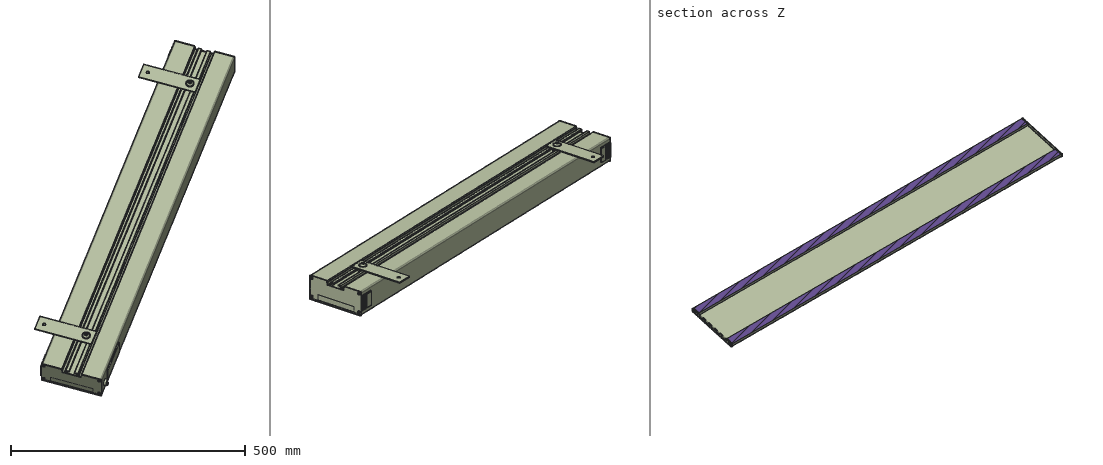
import cadquery as cq


total_length = 899.0
housing_width = 135.0
housing_top = 57.5
housing_bottom = 3.0
corner_radius = 3.0
half_width = housing_width / 2
half_length = total_length / 2

cap_thickness = 2.25
cap_corner_radius = 2.0
cap_screw_diameter = 3.2
cap_counterbore_diameter = 6.0
cap_counterbore_depth = 1.0
cap_screw_inset = 5.0
housing_length = total_length - 2 * cap_thickness
half_housing_length = housing_length / 2

channel_width = 45.0
channel_depth = 10.0
channel_floor = housing_top - channel_depth
ledge_width = 1.35
ledge_drop = 4.0
rail_outer = 16.0
rail_inner = 11.0
rail_shoulder = 13.5
rail_shoulder_height = 3.0
rail_lip_edge = 5.0
rail_lip_bevel = 1.35
rail_lip_thickness = 3.0
rail_drop = 2.0
rail_top = housing_top - rail_drop
rail_lip_underside = rail_top - rail_lip_thickness

light_tunnel_width = 94.0
light_tunnel_top = 16.0
light_window_thickness = 1.0

bracket_spacing = 699.0
bracket_length = 127.0
bracket_width = 35.0
bracket_thickness = 3.0
bracket_inner_end = 17.0
bracket_hole_diameter = 6.5
bracket_hole_inset = 15.0
bracket_top = housing_top + bracket_thickness
bracket_outer_end = bracket_inner_end - bracket_length
bracket_ys = (-bracket_spacing / 2, bracket_spacing / 2)

screw_flange_diameter = 18.0
screw_flange_height = 1.0
screw_head_diameter = 14.0
screw_head_top_diameter = 7.6
screw_head_height = 5.0
screw_shank_diameter = 6.5
screw_foot_diameter = 21.0
screw_foot_height = 4.5
screw_socket_width = 5.5
screw_socket_depth = 3.0

socket_length = 33.0
socket_height = 35.0
socket_thickness = 3.0
socket_base = 13.0
socket_chamfer = 2.0
socket_groove_start = 13.0
socket_groove_width = 4.5
socket_groove_depth = 1.0
pin_hole_diameter = 5.5
pin_counterbore_diameter = 7.6
pin_counterbore_depth = 1.0
pin_pitch = 9.0
pin_count = 4
pin_inset = 5.0

panel_length = 77.0
panel_height = 35.0
panel_thickness = 3.0
panel_base = 13.0
panel_start = -413.5
switch_diameter = 14.0
switch_height = 5.0
switch_y = -430.0
switch_z = 26.0
lever_diameter = 6.5
lever_length = 8.0
lever_z = 22.5


def box(x_range, y_range, z_range):
    """Box between pairs of X, Y and Z limits."""
    size = [high - low for low, high in (x_range, y_range, z_range)]
    corner = (x_range[0], y_range[0], z_range[0])
    return cq.Workplane("XY").box(*size, centered=False).translate(corner)


def channel_void(length):
    """Channel along Y, slightly narrower below a ledge on each wall."""
    half = channel_width / 2
    lower_half = half - ledge_width
    y_range = (-length / 2, length / 2)
    upper = box((-half, half), y_range, (housing_top - ledge_drop, housing_top))
    lower = box((-lower_half, lower_half), y_range, (channel_floor, housing_top))
    return upper.union(lower)


def make_rail(side):
    """Lipped channel rail; side is -1 or +1 along X."""
    outline = [
        (rail_outer, channel_floor),
        (rail_outer, channel_floor + rail_shoulder_height),
        (rail_shoulder, channel_floor + rail_shoulder_height),
        (rail_shoulder, rail_top),
        (rail_lip_edge + rail_lip_bevel, rail_top),
        (rail_lip_edge, rail_top - rail_lip_bevel),
        (rail_lip_edge, rail_lip_underside),
        (rail_inner, rail_lip_underside),
        (rail_inner, channel_floor),
    ]
    points = [(side * x, z) for x, z in outline]
    return cq.Workplane("XZ").polyline(points).close().extrude(half_housing_length, both=True)


def make_housing():
    body = box(
        (-half_width, half_width),
        (-half_housing_length, half_housing_length),
        (housing_bottom, housing_top),
    )
    body = body.edges("|Y and >Z").fillet(corner_radius)
    body = body.cut(channel_void(housing_length))
    for side in (-1, 1):
        body = body.union(make_rail(side))
    tunnel_half = light_tunnel_width / 2
    tunnel = box(
        (-tunnel_half, tunnel_half),
        (-half_housing_length, half_housing_length),
        (housing_bottom + light_window_thickness, light_tunnel_top),
    )
    body = body.cut(tunnel)
    return body.union(make_switch_panel()).union(make_switch())


def make_switch_panel():
    """Raised plate on the +X wall."""
    return box(
        (half_width, half_width + panel_thickness),
        (panel_start, panel_start + panel_length),
        (panel_base, panel_base + panel_height),
    )


def make_switch():
    """Round switch body with a small lever, on the +X wall."""
    wall = cq.Workplane("YZ", origin=(half_width, switch_y, 0))
    body = wall.center(0, switch_z).circle(switch_diameter / 2).extrude(switch_height)
    lever = wall.center(0, lever_z).circle(lever_diameter / 2).extrude(lever_length)
    return body.union(lever)


def make_cap(side):
    """End cap; side is -1 or +1 along Y."""
    cap = box((-half_width, half_width), (half_housing_length, half_length), (0, housing_top))
    cap = cap.edges("|Y").fillet(cap_corner_radius)
    cap = cap.cut(channel_void(total_length))
    hole_x = half_width - cap_screw_inset
    hole_zs = (housing_bottom + cap_screw_inset, housing_top - cap_screw_inset)
    hole_points = [(x, z) for x in (-hole_x, hole_x) for z in hole_zs]
    outer_face = cq.Workplane("XZ", origin=(0, half_length, 0)).pushPoints(hole_points)
    cap = cap.cut(outer_face.circle(cap_screw_diameter / 2).extrude(cap_thickness))
    cap = cap.cut(outer_face.circle(cap_counterbore_diameter / 2).extrude(cap_counterbore_depth))
    return cap if side > 0 else cap.mirror("XZ")


def make_bracket(y):
    bracket = box(
        (bracket_outer_end, bracket_inner_end),
        (y - bracket_width / 2, y + bracket_width / 2),
        (housing_top, bracket_top),
    )
    hole_x = bracket_outer_end + bracket_hole_inset
    for x, diameter in ((hole_x, bracket_hole_diameter), (0, screw_shank_diameter)):
        hole = cq.Workplane("XY", origin=(x, y, housing_top)).circle(diameter / 2)
        bracket = bracket.cut(hole.extrude(bracket_thickness))
    return bracket


def make_screw(y):
    """Flanged screw with a tapered socket head and a round foot held under the rail lips."""
    outline = [
        (0, channel_floor),
        (screw_foot_diameter / 2, channel_floor),
        (screw_foot_diameter / 2, channel_floor + screw_foot_height),
        (screw_shank_diameter / 2, channel_floor + screw_foot_height),
        (screw_shank_diameter / 2, bracket_top),
        (screw_flange_diameter / 2, bracket_top),
        (screw_flange_diameter / 2, bracket_top + screw_flange_height),
        (screw_head_diameter / 2, bracket_top + screw_flange_height),
        (screw_head_top_diameter / 2, bracket_top + screw_head_height),
        (0, bracket_top + screw_head_height),
    ]
    screw = cq.Workplane("XZ").polyline(outline).close().revolve(360, (0, 0, 0), (0, 1, 0))
    socket = (
        cq.Workplane("XY", origin=(0, 0, bracket_top + screw_head_height))
        .polygon(6, screw_socket_width)
        .extrude(-screw_socket_depth)
    )
    return screw.cut(socket).translate((0, y, 0))


def make_socket(side):
    """Connector block with a groove across it and a column of pin holes; side is along Y."""
    outer_x = -half_width - socket_thickness
    end_y = half_housing_length
    top = socket_base + socket_height
    block = box((outer_x, -half_width), (end_y - socket_length, end_y), (socket_base, top))
    block = block.edges("<X and >Z").chamfer(socket_chamfer)
    groove_y = end_y - socket_groove_start
    groove = box(
        (outer_x, outer_x + socket_groove_depth),
        (groove_y - socket_groove_width, groove_y),
        (socket_base, top),
    )
    block = block.cut(groove)
    pins = cq.Workplane("YZ", origin=(outer_x, end_y - pin_inset, socket_base + socket_height / 2))
    pins = pins.rarray(9, pin_pitch, 1, pin_count)
    block = block.cut(pins.circle(pin_hole_diameter / 2).extrude(socket_thickness))
    block = block.cut(pins.circle(pin_counterbore_diameter / 2).extrude(pin_counterbore_depth))
    return block if side > 0 else block.mirror("XZ")


housing = make_housing()
caps = [make_cap(side) for side in (-1, 1)]
sockets = [make_socket(side) for side in (-1, 1)]
brackets = [make_bracket(y) for y in bracket_ys]
screws = [make_screw(y) for y in bracket_ys]

bodies = [housing, *caps, *sockets, *brackets, *screws]
result = cq.Compound.makeCompound([body.val() for body in bodies])